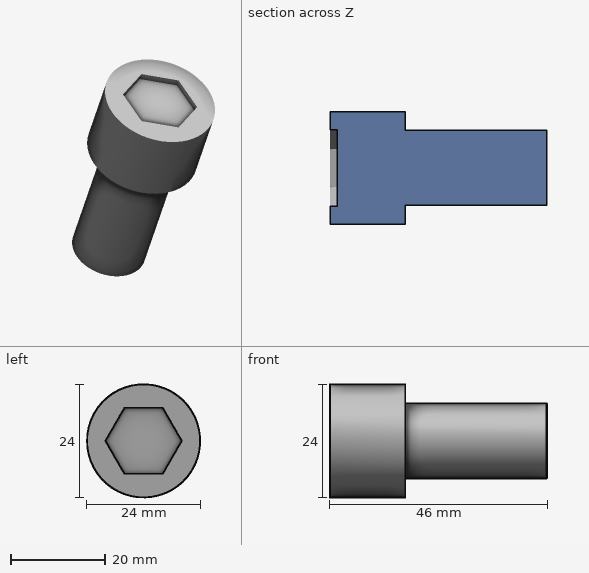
import cadquery as cq
import math

head_diameter = 24.0
head_length = 16.0
shank_diameter = 16.0
shank_length = 30.0
tip_chamfer = 0.2

socket_across_flats = 14.0
socket_depth = 1.5
socket_across_corners = socket_across_flats / math.cos(math.pi / 6)


def make_head():
    return cq.Workplane("YZ").circle(head_diameter / 2).extrude(head_length)


def make_shank():
    shank = (
        cq.Workplane("YZ")
        .workplane(offset=head_length)
        .circle(shank_diameter / 2)
        .extrude(shank_length)
    )
    return shank.faces(">X").chamfer(tip_chamfer)


def make_socket():
    return cq.Workplane("YZ").polygon(6, socket_across_corners).extrude(socket_depth)


result = make_head().union(make_shank()).cut(make_socket())